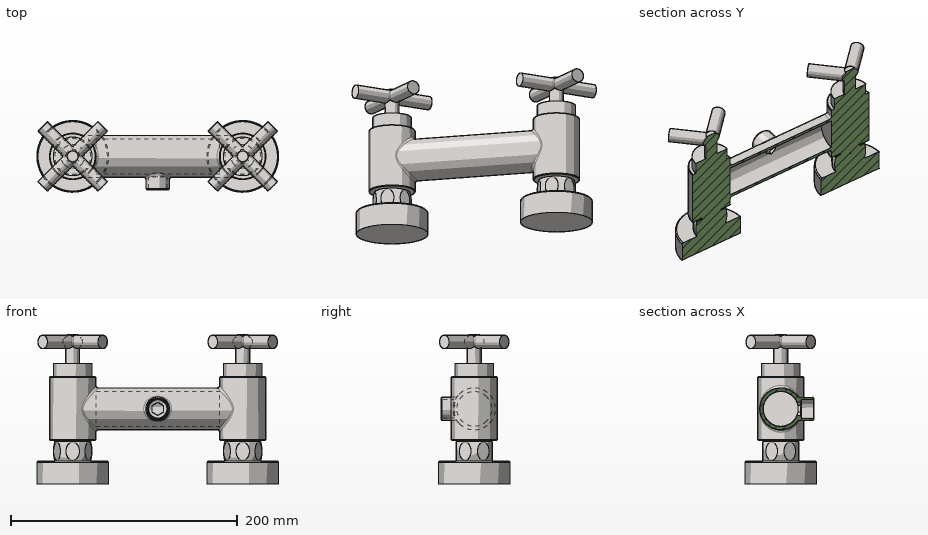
import cadquery as cq
import math

overall_length = 213.5
flange_diameter = 63.5
column_offset = (overall_length - flange_diameter) / 2

flange_height = 20.3
flange_edge = 1.0
nut_height = 17.5
neck_height = 0.9
body_height = 56.2
cap_height = 11.7
nut_bottom = flange_height
neck_bottom = nut_bottom + nut_height
body_bottom = neck_bottom + neck_height
cap_bottom = body_bottom + body_height
stem_bottom = cap_bottom + cap_height

nut_end_radius = 15.8
nut_middle_radius = 17.0
nut_flat_count = 6
nut_across_flats = 32.0
neck_radius = 10.5
body_radius = 20.5
body_edge = 0.6
cap_radius = 17.0
stem_radius = 6.2

handle_height = 125.5
arm_radius = 6.0
arm_span = 75.0
arm_angle = 45
arm_fillet = 0.9
button_radius = 5.0
button_top = 132.0
button_edge = 0.5

pipe_radius = 18.5
pipe_bore_radius = 15.4
pipe_height = 66.5
pipe_fillet = 2.1

nozzle_radius = 10.5
nozzle_reach = 29.5
nozzle_edge = 1.0
nozzle_fillet = 2.0
nozzle_bore_radius = 8.1
nozzle_bore_edge = 0.5
seat_depth = 11.0
seat_cone_depth = 2.1
hex_socket_sides = 6
hex_socket_diameter = 11.5


def disc(radius, bottom, height):
    """Upright cylinder on the column axis."""
    return cq.Workplane("XY").workplane(offset=bottom).circle(radius).extrude(height)


def make_nut():
    """Barrel-shaped nut whose bulge is trimmed by six flats."""
    barrel = (
        cq.Workplane("XZ")
        .moveTo(0, nut_bottom)
        .lineTo(nut_end_radius, nut_bottom)
        .threePointArc(
            (nut_middle_radius, nut_bottom + nut_height / 2),
            (nut_end_radius, neck_bottom),
        )
        .lineTo(0, neck_bottom)
        .close()
        .revolve(360, (0, 0, 0), (0, 1, 0))
    )
    across_corners = nut_across_flats / math.cos(math.pi / nut_flat_count)
    hexagon = (
        cq.Workplane("XY")
        .workplane(offset=nut_bottom)
        .polygon(nut_flat_count, across_corners)
        .extrude(nut_height)
    )
    return barrel.intersect(hexagon)


def make_handle():
    """Two crossed round bars on a stem, with a button at the crossing."""
    arm = cq.Workplane("YZ").circle(arm_radius).extrude(arm_span / 2, both=True)
    cross = arm.rotate((0, 0, 0), (0, 0, 1), arm_angle)
    cross = cross.union(arm.rotate((0, 0, 0), (0, 0, 1), -arm_angle))
    reach = 2 * arm_radius
    cross = cross.edges(cq.selectors.BoxSelector((-reach,) * 3, (reach,) * 3)).fillet(arm_fillet)
    cross = cross.translate((0, 0, handle_height))
    stem = disc(stem_radius, stem_bottom, handle_height - stem_bottom)
    button = disc(button_radius, handle_height, button_top - handle_height)
    button = button.faces(">Z").edges().fillet(button_edge)
    return cross.union(stem).union(button)


def make_column_fittings():
    """Everything on one column axis except the valve body."""
    flange = disc(flange_diameter / 2, 0, flange_height)
    flange = flange.faces(">Z").edges().chamfer(flange_edge)
    neck = disc(neck_radius, neck_bottom, neck_height)
    cap = disc(cap_radius, cap_bottom, cap_height)
    return flange.union(make_nut()).union(neck).union(cap).union(make_handle())


def make_pipe_and_bodies():
    """Pipe blended into both valve bodies and into the outlet nozzle."""
    block = (
        cq.Workplane("YZ")
        .center(0, pipe_height)
        .circle(pipe_radius)
        .extrude(column_offset, both=True)
    )
    for side in (-1, 1):
        body = disc(body_radius, body_bottom, body_height)
        body = body.faces("<Z or >Z").edges().chamfer(body_edge)
        block = block.union(body.translate((side * column_offset, 0, 0)))
    for side in (-1, 1):
        near = side * (column_offset - body_radius - pipe_fillet)
        far = side * column_offset
        joint = cq.selectors.BoxSelector(
            (near, -body_radius, pipe_height - pipe_radius - pipe_fillet),
            (far, body_radius, pipe_height + pipe_radius + pipe_fillet),
            boundingbox=False,
        )
        block = block.edges(joint).fillet(pipe_fillet)

    nozzle = (
        cq.Workplane("XZ")
        .center(0, pipe_height)
        .circle(nozzle_radius)
        .extrude(nozzle_reach)
        .faces("<Y")
        .edges()
        .chamfer(nozzle_edge)
    )
    block = block.union(nozzle)
    root = cq.selectors.BoxSelector(
        (-nozzle_radius, -pipe_radius, pipe_height - nozzle_radius),
        (nozzle_radius, 0, pipe_height + nozzle_radius),
    )
    return block.edges(root).fillet(nozzle_fillet)


def make_passages():
    """Pipe bore between the bodies, reached through the stepped nozzle bore."""
    bore_half_length = column_offset - body_radius
    pipe_bore = (
        cq.Workplane("YZ")
        .center(0, pipe_height)
        .circle(pipe_bore_radius)
        .extrude(bore_half_length, both=True)
    )
    tip = -nozzle_reach
    seat = tip + seat_depth
    nozzle_bore = (
        cq.Workplane("XY")
        .moveTo(0, tip)
        .lineTo(nozzle_bore_radius + nozzle_bore_edge, tip)
        .lineTo(nozzle_bore_radius, tip + nozzle_bore_edge)
        .lineTo(nozzle_bore_radius, seat)
        .lineTo(0, seat + seat_cone_depth)
        .close()
        .revolve(360, (0, 0, 0), (0, 1, 0))
        .translate((0, 0, pipe_height))
    )
    hex_socket = (
        cq.Workplane("XZ")
        .center(0, pipe_height)
        .transformed(rotate=(0, 0, 90))
        .polygon(hex_socket_sides, hex_socket_diameter)
        .extrude(-seat)
    )
    return pipe_bore.union(nozzle_bore).union(hex_socket)


result = make_pipe_and_bodies()
for side in (-1, 1):
    result = result.union(make_column_fittings().translate((side * column_offset, 0, 0)))
result = result.cut(make_passages())